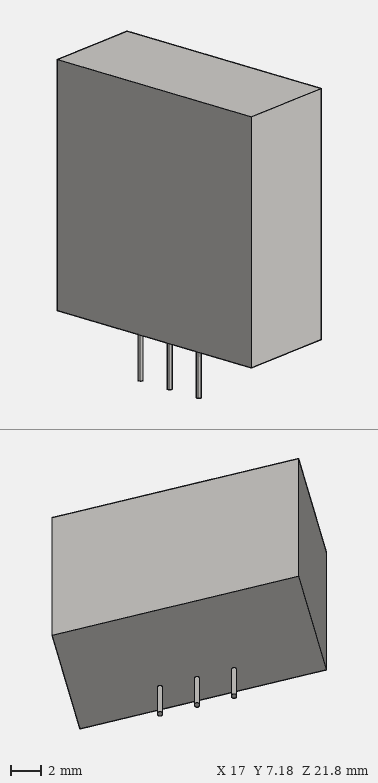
import cadquery as cq

total_height = 21.77
case_width = 16.98
case_depth = 7.18
pin_length = 3.96

pin_diameter = 0.35
pin_pitch = 2.55
pin_count = 3
pin_front_offset = 1.6

case_height = total_height - pin_length
pin_y = -case_depth / 2 + pin_front_offset


def make_case():
    """Plain rectangular case, centred in X and Y, with its underside at Z = 0."""
    return cq.Workplane("XY").box(case_width, case_depth, case_height, centered=(True, True, False))


def make_pin(x):
    """Round pin hanging from the underside of the case."""
    return cq.Workplane("XY").center(x, pin_y).circle(pin_diameter / 2).extrude(-pin_length)


case = make_case()
pins = []
for index in range(pin_count):
    pin_x = (index - (pin_count - 1) / 2) * pin_pitch
    pins.append(make_pin(pin_x))

result = cq.Compound.makeCompound([case.val(), *[pin.val() for pin in pins]])